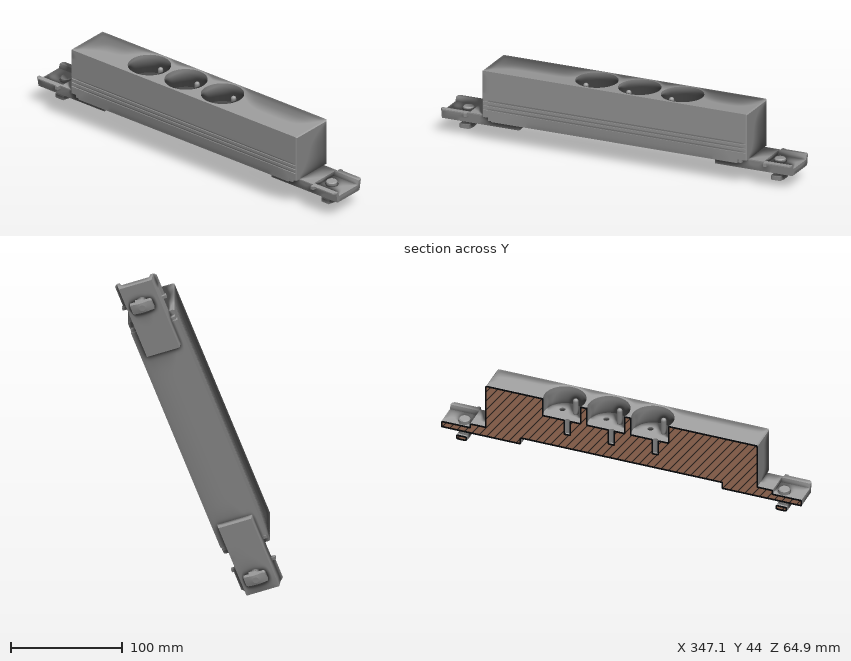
import cadquery as cq
import math

total_length = 347.1
body_length = 262.0
body_width = 44.0
body_height = 48.0
total_height = 64.9

end_bevel = 1.0
end_step_height = 3.7
flange_length = 51.8
groove_width = 1.75
groove_depth = 1.0
groove_pitch = 4.0
groove_count = 3
lowest_groove_z = 11.45

socket_count = 3
socket_pitch = 42.4
first_socket_x = -57.5
socket_diameter = 39.0
socket_depth = 18.0
contact_hole_diameter = 5.5
contact_hole_depth = 15.0
contact_spacing = 19.0
earth_pin_diameter = 4.8
earth_pin_height = 16.0
earth_pin_tip_radius = 2.3
earth_pin_offset = 10.0
socket_turn = 35.0

bracket_length = 76.5
bracket_bottom_z = -6.4
bracket_top_z = end_step_height
pan_top_width = 34.3
pan_bottom_width = 31.0
flange_thickness = 1.1
wide_flange_length = 26.8
wide_flange_width = 39.4
flange_corner = 2.2
tab_length = 3.0
tab_span = 42.0
tab_height = 3.3
inner_tab_gap = 0.8
pocket_length = 27.8
pocket_depth = 4.1
pocket_top_width = 29.3
pocket_floor_width = 26.4

bolt_inset = 19.4
bolt_diameter = 10.4
bolt_top_chamfer = 0.8
bolt_sink = 0.6
bolt_top_z = bracket_top_z - bolt_sink
bolt_recess_diameter = 12.2
bolt_recess_depth = 1.0
collar_bottom_z = -8.4
head_top_z = -11.6
head_length = 20.2
head_width = 10.0
head_corner_radius = 2.0
shank_corner_radius = 4.9
head_tip_diameter = 6.0
head_taper_height = 1.6
head_bottom_z = body_height - total_height
bolt_x = total_length / 2 - bolt_inset


def make_body():
    """Rectangular bar with bevelled ends, stepped away under each end."""
    body = cq.Workplane("XY").box(body_length, body_width, body_height, centered=(True, True, False))
    body = body.faces("<X or >X").chamfer(end_bevel)
    step_wall_x = total_length / 2 - flange_length
    step_length = body_length / 2 - step_wall_x
    for side in (-1, 1):
        step = cq.Workplane("XY").box(step_length, body_width, end_step_height, centered=(True, True, False))
        body = body.cut(step.translate((side * (step_wall_x + step_length / 2), 0, 0)))
    return body


def make_grooves():
    """Straight-sided grooves along both long sides, stopping at the end bevels."""
    length = body_length - 2 * end_bevel
    heights = [lowest_groove_z + index * groove_pitch for index in range(groove_count)]
    places = [(side * body_width / 2, z) for side in (-1, 1) for z in heights]
    return (
        cq.Workplane("YZ")
        .pushPoints(places)
        .rect(2 * groove_depth, groove_width)
        .extrude(length / 2, both=True)
    )


def polar(radius, degrees):
    """Point at a radius and an angle from +X."""
    angle = math.radians(degrees)
    return (radius * math.cos(angle), radius * math.sin(angle))


def cut_socket(body, x):
    """Round well with two contact holes in its floor and a round-ended earth pin."""
    floor_z = body_height - socket_depth
    floor = cq.Workplane("XY", origin=(x, 0, floor_z))
    well = floor.circle(socket_diameter / 2).extrude(socket_depth)
    contacts = [polar(contact_spacing / 2, socket_turn + turn) for turn in (90, -90)]
    holes = floor.pushPoints(contacts).circle(contact_hole_diameter / 2).extrude(-contact_hole_depth)
    pin = (
        floor.center(*polar(earth_pin_offset, socket_turn))
        .circle(earth_pin_diameter / 2)
        .extrude(earth_pin_height)
        .faces(">Z")
        .fillet(earth_pin_tip_radius)
    )
    return body.cut(well).cut(holes).union(pin)


def trapezoid_bar(x_start, length, z_bottom, z_top, bottom_width, top_width):
    """Bar along X whose width changes evenly from its bottom to its top."""
    profile = [
        (-bottom_width / 2, z_bottom),
        (bottom_width / 2, z_bottom),
        (top_width / 2, z_top),
        (-top_width / 2, z_top),
    ]
    return cq.Workplane("YZ", origin=(x_start, 0, 0)).polyline(profile).close().extrude(length)


def make_left_bracket():
    """Bracket at the -X end."""
    outer_x = -total_length / 2
    flange_z = bracket_top_z - flange_thickness
    pan = trapezoid_bar(outer_x, bracket_length, bracket_bottom_z, flange_z, pan_bottom_width, pan_top_width)
    inner_part = (
        cq.Workplane("XY", origin=(outer_x + flange_length, -pan_top_width / 2, 0))
        .box(bracket_length, pan_top_width, bracket_top_z, centered=False)
    )
    pan = pan.cut(inner_part)

    neck = trapezoid_bar(outer_x, flange_length, flange_z, bracket_top_z, pan_top_width, pan_top_width)
    flange = trapezoid_bar(
        outer_x, wide_flange_length, flange_z, bracket_top_z, wide_flange_width, wide_flange_width
    )
    flange = flange.edges("|Z and <X").chamfer(flange_corner)
    bracket = pan.union(neck).union(flange)

    inner_tab_x = flange_length - tab_length - inner_tab_gap
    for tab_x in (wide_flange_length - tab_length, inner_tab_x):
        tab = trapezoid_bar(
            outer_x + tab_x, tab_length, bracket_top_z - tab_height, bracket_top_z, tab_span, tab_span
        )
        bracket = bracket.union(tab)

    pocket_floor_z = bracket_top_z - pocket_depth
    pocket = trapezoid_bar(
        outer_x, pocket_length, pocket_floor_z, bracket_top_z, pocket_floor_width, pocket_top_width
    )
    recess = (
        cq.Workplane("XY", origin=(-bolt_x, 0, pocket_floor_z))
        .circle(bolt_recess_diameter / 2)
        .extrude(-bolt_recess_depth)
    )
    return bracket.cut(pocket).cut(recess)


def quarter_turn_block(length, width, corner_radius, z_bottom, z_top):
    """Block along Y with its (-X, -Y) and (+X, +Y) corners rounded, so that it turns one way only."""
    height = z_top - z_bottom
    base = cq.Workplane("XY", origin=(0, 0, z_bottom))
    block = base.box(width, length, height, centered=(True, True, False))
    corners = "|Z and (<(1, 1, 0) or >(1, 1, 0))"
    return block.edges(corners).fillet(corner_radius)


def make_bolt():
    """Hammer-head bolt on the Z axis, with a conical underside."""
    collar = (
        cq.Workplane("XY", origin=(0, 0, collar_bottom_z))
        .circle(bolt_diameter / 2)
        .extrude(bolt_top_z - collar_bottom_z)
        .faces(">Z")
        .chamfer(bolt_top_chamfer)
    )
    shank = quarter_turn_block(head_width, head_width, shank_corner_radius, head_top_z, collar_bottom_z)
    head = quarter_turn_block(head_length, head_width, head_corner_radius, head_bottom_z, head_top_z)
    taper_top_z = head_bottom_z + head_taper_height
    envelope_profile = [
        (0, head_bottom_z),
        (head_tip_diameter / 2, head_bottom_z),
        (head_length / 2, taper_top_z),
        (head_length, taper_top_z),
        (head_length, head_top_z),
        (0, head_top_z),
    ]
    envelope = cq.Workplane("XZ").polyline(envelope_profile).close().revolve(360, (0, 0, 0), (0, 1, 0))
    return collar.union(shank).union(head.intersect(envelope))


body = make_body().cut(make_grooves())
for index in range(socket_count):
    body = cut_socket(body, first_socket_x + index * socket_pitch)

left_bracket = make_left_bracket()
right_bracket = left_bracket.rotate((0, 0, 0), (0, 0, 1), 180)
bolt = make_bolt()

result = body.union(left_bracket).union(right_bracket)
for side in (-1, 1):
    result = result.union(bolt.translate((side * bolt_x, 0, 0)))